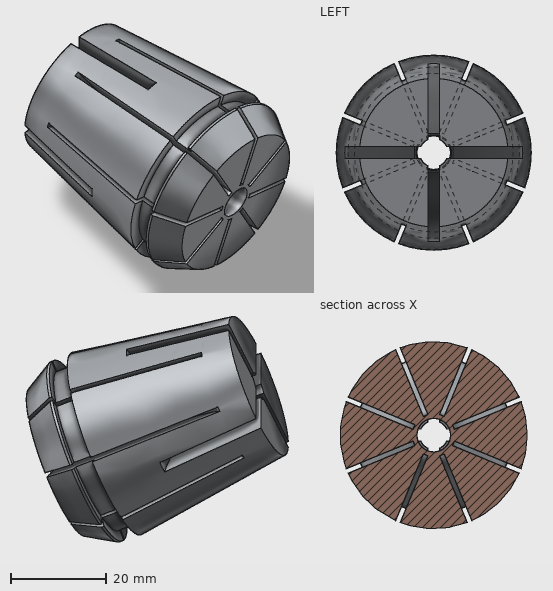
import cadquery as cq
import math

length = 46.0
max_radius = 20.5
taper_angle = 8.0
taper_length = 34.9
groove_width = 4.2
groove_radius = 18.0
lip_radius = 20.3
lip_width = 0.6
nose_angle = 30.0

front_bore_radius = 3.0
rear_bore_radius = 3.5
bore_chamfer = 0.25
bore_step_x = 12.1

slot_count = 4
slot_width = 2.5
cutter_radius = 20.0
slot_cutter_x = 2.3
slot_cutter_height = 21.5

slit_count = 8
slit_width = 1.0
slit_start_x = 6.3
slit_floor_radius = 4.5
slit_cutter_height = slit_floor_radius + cutter_radius

clearance = 1.0


def shank_radius(x):
    """Outer radius of the tapered shank at the given x."""
    return max_radius - (taper_length - x) * math.tan(math.radians(taper_angle))


def make_body():
    """Tapered shank, locking groove and conical nose as one turned profile."""
    front_radius = shank_radius(0)
    lip_start_x = taper_length + groove_width
    nose_start_x = lip_start_x + lip_width
    back_radius = lip_radius - (length - nose_start_x) * math.tan(math.radians(nose_angle))
    profile = (
        cq.Workplane("XY")
        .lineTo(0, front_radius)
        .lineTo(taper_length, max_radius)
        .lineTo(taper_length, groove_radius)
        .lineTo(lip_start_x, groove_radius)
        .lineTo(lip_start_x, lip_radius)
        .lineTo(nose_start_x, lip_radius)
        .lineTo(length, back_radius)
        .lineTo(length, 0)
        .close()
    )
    return profile.revolve(360, (0, 0, 0), (1, 0, 0))


def make_bore():
    """Stepped through bore with a small cone at the front of the rear section."""
    profile = (
        cq.Workplane("XY")
        .lineTo(0, front_bore_radius)
        .lineTo(bore_step_x, front_bore_radius)
        .lineTo(bore_step_x, rear_bore_radius + bore_chamfer)
        .lineTo(bore_step_x + bore_chamfer, rear_bore_radius)
        .lineTo(length, rear_bore_radius)
        .lineTo(length, 0)
        .close()
    )
    return profile.revolve(360, (0, 0, 0), (1, 0, 0))


def make_slot():
    """One arm of the cross slot: flat end at the bore step, then a concave run-out."""

    def rim_point(x):
        drop = math.sqrt(cutter_radius**2 - (x - slot_cutter_x) ** 2)
        return x, slot_cutter_height - drop

    rim_end_x = slot_cutter_x + cutter_radius
    return (
        cq.Workplane("XY")
        .moveTo(-clearance, 0)
        .lineTo(bore_step_x, 0)
        .lineTo(*rim_point(bore_step_x))
        .threePointArc(rim_point((bore_step_x + rim_end_x) / 2), (rim_end_x, slot_cutter_height))
        .lineTo(-clearance, slot_cutter_height)
        .close()
        .extrude(slot_width / 2, both=True)
    )


def make_slit():
    """One radial slit: concave run-in at the front, level floor out through the back face."""
    rise = slit_cutter_height - shank_radius(slit_start_x)
    cutter_x = slit_start_x + math.sqrt(cutter_radius**2 - rise**2)
    diagonal_offset = cutter_radius * math.sqrt(0.5)
    arc_middle = (cutter_x - diagonal_offset, slit_cutter_height - diagonal_offset)
    return (
        cq.Workplane("XY")
        .moveTo(cutter_x - cutter_radius, slit_cutter_height)
        .threePointArc(arc_middle, (cutter_x, slit_floor_radius))
        .lineTo(length + clearance, slit_floor_radius)
        .lineTo(length + clearance, slit_cutter_height)
        .close()
        .extrude(slit_width / 2, both=True)
    )


def cut_around_axis(body, tool, count, first_angle=0.0):
    """Cut equally spaced copies of the tool around the X axis."""
    for index in range(count):
        angle = first_angle + index * 360 / count
        body = body.cut(tool.rotate((0, 0, 0), (1, 0, 0), angle))
    return body


collet = make_body().cut(make_bore())
collet = cut_around_axis(collet, make_slot(), slot_count)
result = cut_around_axis(collet, make_slit(), slit_count, 180 / slit_count)